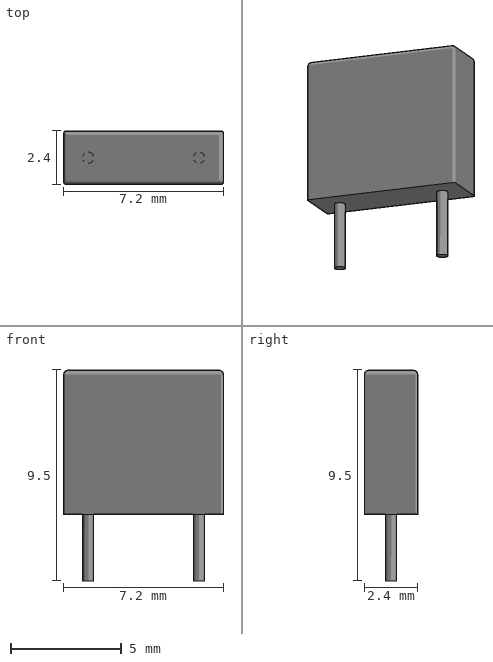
import cadquery as cq

total_height = 9.5
body_length = 7.2
body_width = 2.4

lead_length = 3.0
lead_diameter = 0.5
lead_spacing = 5.0

side_edge_radius = 0.1
top_edge_radius = 0.2

body_height = total_height - lead_length


def make_body():
    """Box standing on Z = 0 with rounded upright edges and a rounded top rim."""
    body = cq.Workplane("XY").box(body_length, body_width, body_height, centered=(True, True, False))
    body = body.edges("|Z").fillet(side_edge_radius)
    return body.faces(">Z").edges().fillet(top_edge_radius)


def make_leads():
    """Two round leads hanging below the body, spaced along X."""
    lead_centres = [(-lead_spacing / 2, 0), (lead_spacing / 2, 0)]
    return cq.Workplane("XY").pushPoints(lead_centres).circle(lead_diameter / 2).extrude(-lead_length)


result = make_body().union(make_leads())